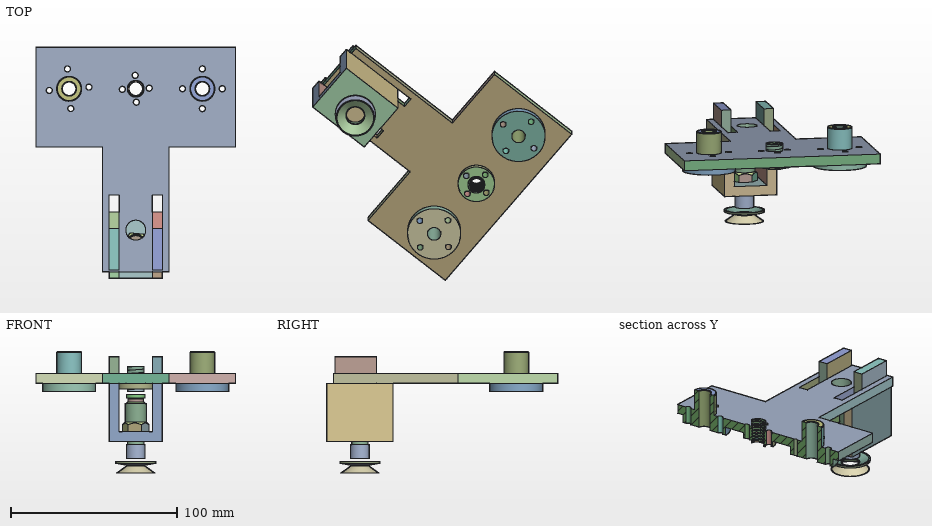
import cadquery as cq
import math


PLATE_THICKNESS = 6.0
HEAD_WIDTH = 120.0
HEAD_DEPTH = 60.0
STEM_WIDTH = 40.0
STEM_SETBACK = 4.0
OVERALL_LENGTH = 139.0
STEM_END = STEM_SETBACK - OVERALL_LENGTH
ACCESS_HOLE_DIAMETER = 12.0
ACCESS_HOLE_Y = -110.0

BRACKET_WIDTH = 32.0
BRACKET_LENGTH = 40.0
BRACKET_DROP = 35.0
BRACKET_WALL = 6.0
TAB_LENGTH = 25.0
TAB_RISE = 10.0
SLOT_LENGTH = 45.0
SLOT_END_MARGIN = 1.0
BRACKET_Y = -OVERALL_LENGTH + BRACKET_LENGTH / 2
SLOT_FRONT = STEM_END + SLOT_END_MARGIN
TAB_X = (BRACKET_WIDTH - BRACKET_WALL) / 2

ROW_Y = -25.0
BUSHING_SPACING = 40.0
BORE_DIAMETER = 8.0
SCREW_HOLE_DIAMETER = 3.5
SCREW_HOLE_COUNT = 4

BUSHING_DIAMETER = 15.0
BUSHING_RISE = 13.0
BUSHING_FLANGE_DIAMETER = 32.0
BUSHING_FLANGE_THICKNESS = 5.0
BUSHING_SCREW_RADIUS = 12.0
BUSHING_CHAMFER = 0.4
LEFT_BUSHING_TURN = 4.8
RIGHT_BUSHING_TURN = 0.0

NUT_DIAMETER = 10.1
NUT_RISE = 4.2
NUT_DROP = 5.0
NUT_FLANGE_DIAMETER = 22.0
NUT_FLANGE_THICKNESS = 3.5
NUT_SCREW_RADIUS = 8.0
NUT_TURN = 2.5
THREAD_PITCH = 2.0
THREAD_ROOT_DIAMETER = 9.7
THREAD_MOUTH_WIDTH = 1.7
THREAD_OVERLAP = 0.4

RING_DIAMETER = 11.4
RING_TOP = 6.7
RING_BOTTOM = 8.9
RING_NECK_DIAMETER = 8.0
SHOULDER_DIAMETER = 9.5
SHOULDER_TOP = 9.3
CONE_TOP = 11.1
CONE_BASE_DIAMETER = 11.7
BARREL_DIAMETER = 12.9
BARREL_TOP = 12.2
HEX_FLATS = 14.0
HEX_TOP = 23.4
HEX_TURN = 25.0
HEX_CHAMFER_ANGLE = 45.0
SPIGOT_DIAMETER = 10.0
COLLAR_DIAMETER = 11.4
COLLAR_TOP = 36.8
COLLAR_BOTTOM = 45.3

CUP_TOP = 47.0
CUP_BOTTOM = 54.0
CUP_RIM_RADIUS = 12.1
CUP_RIM_HEIGHT = 1.1
CUP_RIM_INNER_RADIUS = 11.1
CUP_WAIST_RADIUS = 5.7
CUP_WAIST_INNER_RADIUS = 5.4
CUP_WAIST_TOP = 49.2
CUP_WAIST_BOTTOM = 49.8
CUP_LIP_RADIUS = 11.5
CUP_LIP_INNER_RADIUS = 11.0


def cylinder(diameter, bottom, top):
    """Upright cylinder on the Z axis."""
    return cq.Workplane("XY", origin=(0, 0, bottom)).circle(diameter / 2).extrude(top - bottom)


def block(width, back, front, bottom, top):
    """Box centred in X that spans the given Y and Z ranges."""
    size = (width, back - front, top - bottom)
    return cq.Workplane("XY").box(*size, centered=(True, False, False)).translate((0, front, bottom))


def make_plate():
    head = block(HEAD_WIDTH, 0, -HEAD_DEPTH, 0, PLATE_THICKNESS)
    stem = block(STEM_WIDTH, 0, STEM_END, 0, PLATE_THICKNESS)
    access_hole = cylinder(ACCESS_HOLE_DIAMETER, 0, PLATE_THICKNESS).translate((0, ACCESS_HOLE_Y, 0))
    plate = head.union(stem).cut(access_hole)
    slot = block(BRACKET_WALL, SLOT_FRONT + SLOT_LENGTH, SLOT_FRONT, 0, PLATE_THICKNESS)
    for side in (-1, 1):
        plate = plate.cut(slot.translate((side * TAB_X, 0, 0)))
    return plate


def make_bracket():
    back = BRACKET_LENGTH - OVERALL_LENGTH
    front = -OVERALL_LENGTH
    channel_width = BRACKET_WIDTH - 2 * BRACKET_WALL
    channel = block(channel_width, back, front, BRACKET_WALL - BRACKET_DROP, 0)
    bracket = block(BRACKET_WIDTH, back, front, -BRACKET_DROP, 0).cut(channel)
    tab = block(BRACKET_WALL, SLOT_FRONT + TAB_LENGTH, SLOT_FRONT, 0, PLATE_THICKNESS + TAB_RISE)
    for side in (-1, 1):
        bracket = bracket.union(tab.translate((side * TAB_X, 0, 0)))
    return bracket


def screw_holes(radius, turn, depth):
    """Ring of screw holes through a flange of the given depth and the plate above it."""
    return (
        cq.Workplane("XY", origin=(0, 0, -depth))
        .polarArray(radius, turn, 360, SCREW_HOLE_COUNT)
        .circle(SCREW_HOLE_DIAMETER / 2)
        .extrude(depth + PLATE_THICKNESS)
    )


def make_bushing():
    top = PLATE_THICKNESS + BUSHING_RISE
    flange = cylinder(BUSHING_FLANGE_DIAMETER, -BUSHING_FLANGE_THICKNESS, 0)
    body = cylinder(BUSHING_DIAMETER, -BUSHING_FLANGE_THICKNESS, top)
    bore = cylinder(BORE_DIAMETER, -BUSHING_FLANGE_THICKNESS, top)
    return flange.union(body).cut(bore).faces(">Z").chamfer(BUSHING_CHAMFER)


def make_thread_groove(bottom, top):
    """Helical V groove that forms the nut thread, running one pitch past both ends of the nut."""
    bore_radius = BORE_DIAMETER / 2
    mouth_radius = bore_radius - THREAD_OVERLAP
    half_mouth = THREAD_MOUTH_WIDTH / 2
    helix = cq.Wire.makeHelix(THREAD_PITCH, top - bottom + 2 * THREAD_PITCH, bore_radius)
    groove = (
        cq.Workplane("XZ")
        .polyline([
            (mouth_radius, -half_mouth),
            (THREAD_ROOT_DIAMETER / 2, 0),
            (mouth_radius, half_mouth),
        ])
        .close()
        .sweep(cq.Workplane(helix), isFrenet=True)
    )
    return groove.translate((0, 0, bottom - THREAD_PITCH))


def make_nut():
    top = PLATE_THICKNESS + NUT_RISE
    flange = cylinder(NUT_FLANGE_DIAMETER, -NUT_FLANGE_THICKNESS, 0)
    body = cylinder(NUT_DIAMETER, -NUT_DROP, top)
    bore = cylinder(BORE_DIAMETER, -NUT_DROP - THREAD_PITCH, top + THREAD_PITCH)
    threaded_bore = bore.union(make_thread_groove(-NUT_DROP, top))
    return flange.union(body).cut(threaded_bore)


def make_hex():
    """Hexagon whose upper corners are chamfered down from the foot of the barrel."""
    floor = BRACKET_DROP - BRACKET_WALL
    height = floor - HEX_TOP
    corner_diameter = HEX_FLATS / math.cos(math.pi / 6)
    prism = cq.Workplane("XY").polygon(6, corner_diameter).extrude(height)
    slope = math.tan(math.radians(HEX_CHAMFER_ANGLE))
    cone_base_radius = BARREL_DIAMETER / 2 + height / slope
    cone = cq.Workplane("XZ").polyline([
        (0, 0),
        (cone_base_radius, 0),
        (BARREL_DIAMETER / 2, height),
        (0, height),
    ]).close().revolve()
    turned = prism.intersect(cone).rotate((0, 0, 0), (0, 0, 1), HEX_TURN - 90)
    return turned.translate((0, 0, -floor))


def make_fitting():
    profile = [
        (0, -RING_TOP),
        (RING_DIAMETER / 2, -RING_TOP),
        (RING_DIAMETER / 2, -RING_BOTTOM),
        (RING_NECK_DIAMETER / 2, -RING_BOTTOM),
        (RING_NECK_DIAMETER / 2, -SHOULDER_TOP),
        (SHOULDER_DIAMETER / 2, -SHOULDER_TOP),
        (SHOULDER_DIAMETER / 2, -CONE_TOP),
        (CONE_BASE_DIAMETER / 2, -BARREL_TOP),
        (BARREL_DIAMETER / 2, -BARREL_TOP),
        (BARREL_DIAMETER / 2, -HEX_TOP),
        (SPIGOT_DIAMETER / 2, -HEX_TOP),
        (SPIGOT_DIAMETER / 2, -COLLAR_TOP),
        (COLLAR_DIAMETER / 2, -COLLAR_TOP),
        (COLLAR_DIAMETER / 2, -COLLAR_BOTTOM),
        (0, -COLLAR_BOTTOM),
    ]
    turned = cq.Workplane("XZ").polyline(profile).close().revolve()
    return turned.union(make_hex()).translate((0, BRACKET_Y, 0))


def add_insert(frame, insert, x, body_diameter, screw_pattern):
    """Seat a bushing or nut in the plate: clear its bore, join it and drill its screw holes."""
    seat = (x, ROW_Y, 0)
    opening = cylinder(body_diameter, 0, PLATE_THICKNESS).translate(seat)
    seated = frame.cut(opening).union(insert.translate(seat))
    return seated.cut(screw_pattern.translate(seat))


def make_frame():
    frame = make_plate().union(make_bracket()).union(make_fitting())
    for side, turn in ((-1, LEFT_BUSHING_TURN), (1, RIGHT_BUSHING_TURN)):
        holes = screw_holes(BUSHING_SCREW_RADIUS, turn, BUSHING_FLANGE_THICKNESS)
        x = side * BUSHING_SPACING
        frame = add_insert(frame, make_bushing(), x, BUSHING_DIAMETER, holes)
    nut_holes = screw_holes(NUT_SCREW_RADIUS, NUT_TURN, NUT_FLANGE_THICKNESS)
    return add_insert(frame, make_nut(), 0, NUT_DIAMETER, nut_holes)


def make_suction_cup():
    profile = [
        (CUP_RIM_INNER_RADIUS, -CUP_TOP),
        (CUP_RIM_RADIUS, -CUP_TOP),
        (CUP_RIM_RADIUS, -CUP_TOP - CUP_RIM_HEIGHT),
        (CUP_WAIST_RADIUS, -CUP_WAIST_TOP),
        (CUP_WAIST_RADIUS, -CUP_WAIST_BOTTOM),
        (CUP_LIP_RADIUS, -CUP_BOTTOM),
        (CUP_LIP_INNER_RADIUS, -CUP_BOTTOM),
        (CUP_WAIST_INNER_RADIUS, -CUP_WAIST_BOTTOM),
        (CUP_WAIST_INNER_RADIUS, -CUP_WAIST_TOP),
    ]
    cup = cq.Workplane("XZ").polyline(profile).close().revolve(360, (0, 0, 0), (0, 1, 0))
    return cup.translate((0, BRACKET_Y, 0))


frame = make_frame()
suction_cup = make_suction_cup()
result = cq.Compound.makeCompound([frame.solids().val(), suction_cup.val()])